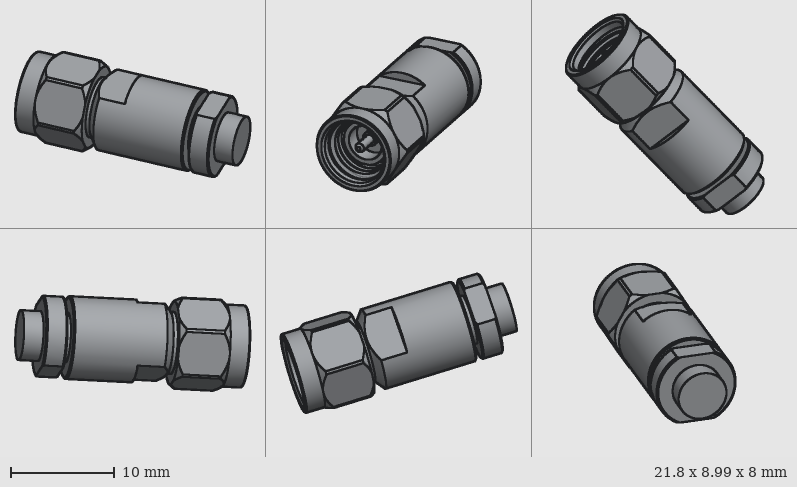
import cadquery as cq
import math


HEX_START = 1.93
HEX_END = 6.93
BODY_START = 7.33
BODY_TAPER_END = 8.11
FLATS_END = 10.74
BODY_END = 17.27
RING_START = 17.86
RING_END = 19.95
TOTAL_LENGTH = 21.84

COLLAR_DIA = 7.94
COLLAR_CHAMFER = 0.1
HEX_SIDES = 6
HEX_ACROSS_FLATS = 7.94
HEX_TURNED_DIA = 8.99
HEX_FRONT_TAPER = 0.66
HEX_BACK_TAPER = 0.59
HEX_FRONT_DIA = 7.94
HEX_BACK_DIA = 8.05

NECK_DIA = 6.0
BODY_NOSE_DIA = 6.05
BODY_DIA = 8.0
BODY_CHAMFER = 0.14
BODY_ACROSS_FLATS = 6.35
RING_DIA = 8.0
RING_CHAMFER = 0.13
RING_ACROSS_FLATS = 7.0
TAIL_DIA = 4.83

MOUTH_DIA = 6.85
RELIEF_DIA = 6.35
RELIEF_END = 1.02
THREAD_MINOR_DIA = 5.46
THREAD_MAJOR_DIA = 6.3
THREAD_PITCH = 25.4 / 36
THREAD_HALF_ANGLE = 30
THREAD_CREST_FLAT = 0.08
THREAD_LEAD_IN_TURNS = 1.5
THREAD_TURNS = 4
SOCKET_DEPTH = 4.4

SLEEVE_DIA = 4.57
SLEEVE_BORE_DIA = 3.5
SLEEVE_FACE = 2.63
PIN_BASE_DIA = 1.42
PIN_BASE_FACE = 3.6
PIN_DIA = 0.91
PIN_TIP_DIA = 0.4
PIN_TIP_FACE = 1.17
PIN_TAPER_END = 1.4

GROOVE_OVERCUT = 0.02
OVERSIZE = 1.0


def cylinder(dia, start, end):
    return cq.Workplane("YZ", origin=(start, 0, 0)).circle(dia / 2).extrude(end - start)


def turned(profile):
    """Solid of revolution about X from (station, diameter) pairs running front to back."""
    outline = [(x, dia / 2) for x, dia in profile]
    first_x = outline[0][0]
    last_x = outline[-1][0]
    section = cq.Workplane("XY").polyline([(first_x, 0)] + outline + [(last_x, 0)]).close()
    return section.revolve(360, (0, 0, 0), (1, 0, 0))


def chamfered_disc(dia, start, end, chamfer):
    return turned([
        (start, dia - 2 * chamfer),
        (start + chamfer, dia),
        (end - chamfer, dia),
        (end, dia - 2 * chamfer),
    ])


def between_flats(solid, across_flats, start, end):
    """Trim a solid to two flats facing +Z and -Z between two stations."""
    length = end - start
    for side in (1, -1):
        center = ((start + end) / 2, 0, side * (across_flats / 2 + OVERSIZE))
        cutter = cq.Workplane("XY", origin=center).box(length, 2 * BODY_DIA, 2 * OVERSIZE)
        solid = solid.cut(cutter)
    return solid


def nut_outside():
    collar = turned([
        (0, COLLAR_DIA - 2 * COLLAR_CHAMFER),
        (COLLAR_CHAMFER, COLLAR_DIA),
        (HEX_START, COLLAR_DIA),
    ])
    across_corners = HEX_ACROSS_FLATS / math.cos(math.pi / HEX_SIDES)
    prism = (
        cq.Workplane("YZ", origin=(HEX_START, 0, 0))
        .polygon(HEX_SIDES, across_corners)
        .extrude(HEX_END - HEX_START)
    )
    envelope = turned([
        (HEX_START, HEX_FRONT_DIA),
        (HEX_START + HEX_FRONT_TAPER, HEX_TURNED_DIA),
        (HEX_END - HEX_BACK_TAPER, HEX_TURNED_DIA),
        (HEX_END, HEX_BACK_DIA),
    ])
    return collar.union(prism.intersect(envelope))


def body():
    barrel = turned([
        (BODY_START, BODY_NOSE_DIA),
        (BODY_TAPER_END, BODY_DIA),
        (BODY_END - BODY_CHAMFER, BODY_DIA),
        (BODY_END, BODY_DIA - 2 * BODY_CHAMFER),
    ])
    barrel = between_flats(barrel, BODY_ACROSS_FLATS, BODY_START, FLATS_END)
    neck = cylinder(NECK_DIA, HEX_END, BODY_START)
    return neck.union(barrel)


def rear_end():
    ring = chamfered_disc(RING_DIA, RING_START, RING_END, RING_CHAMFER)
    ring = between_flats(ring, RING_ACROSS_FLATS, RING_START, RING_END)
    return cylinder(TAIL_DIA, BODY_END, TOTAL_LENGTH).union(ring)


def lead_in_end():
    """Station where the 45 degree lead-in cone reaches the thread bore."""
    return RELIEF_END + (RELIEF_DIA - THREAD_MINOR_DIA) / 2


def socket():
    """Space inside the nut: flared mouth, plain relief, lead-in cone and thread bore."""
    mouth_depth = (MOUTH_DIA - RELIEF_DIA) / 2
    return turned([
        (0, MOUTH_DIA),
        (mouth_depth, RELIEF_DIA),
        (RELIEF_END, RELIEF_DIA),
        (lead_in_end(), THREAD_MINOR_DIA),
        (SOCKET_DEPTH, THREAD_MINOR_DIA),
    ])


def thread_groove():
    """Right-hand groove with sloping flanks, wound about Z and then turned onto X."""
    slope = math.tan(math.radians(THREAD_HALF_ANGLE))
    root = THREAD_MAJOR_DIA / 2
    crest = THREAD_MINOR_DIA / 2
    inner = crest - GROOVE_OVERCUT
    crest_half_width = (THREAD_PITCH - THREAD_CREST_FLAT) / 2
    root_half_width = crest_half_width - (root - crest) * slope
    inner_half_width = crest_half_width + GROOVE_OVERCUT * slope
    start = lead_in_end() + crest_half_width - THREAD_LEAD_IN_TURNS * THREAD_PITCH
    start_angle = -360 * THREAD_LEAD_IN_TURNS
    helix = cq.Wire.makeHelix(THREAD_PITCH, THREAD_TURNS * THREAD_PITCH, crest)
    groove = (
        cq.Workplane("XZ")
        .polyline([
            (inner, -inner_half_width),
            (root, -root_half_width),
            (root, root_half_width),
            (inner, inner_half_width),
        ])
        .close()
        .sweep(cq.Workplane(helix), isFrenet=True)
    )
    groove = groove.rotate((0, 0, 0), (0, 0, 1), start_angle)
    return groove.rotate((0, 0, 0), (0, 1, 0), 90).translate((start, 0, 0))


def contacts():
    sleeve = cylinder(SLEEVE_DIA, SLEEVE_FACE, SOCKET_DEPTH)
    sleeve = sleeve.cut(cylinder(SLEEVE_BORE_DIA, SLEEVE_FACE, SOCKET_DEPTH))
    pin = turned([
        (PIN_TIP_FACE, PIN_TIP_DIA),
        (PIN_TAPER_END, PIN_DIA),
        (PIN_BASE_FACE, PIN_DIA),
        (PIN_BASE_FACE, PIN_BASE_DIA),
        (SOCKET_DEPTH, PIN_BASE_DIA),
    ])
    return sleeve, pin


shell = nut_outside().cut(socket()).cut(thread_groove())
result = shell.union(body()).union(rear_end())
for contact in contacts():
    result = result.union(contact)